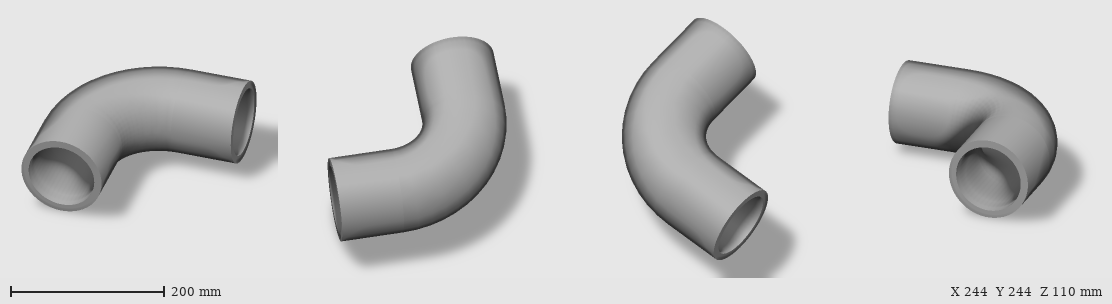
import cadquery as cq

overall_length = 244.0
outer_diameter = 110.0
bore_diameter = 90.0
leg_length = 82.0

bend_radius = overall_length - leg_length - outer_diameter / 2


def elbow_path():
    """Centreline from the -Y opening, around the bend, to the +X opening."""
    return (
        cq.Workplane("XY")
        .moveTo(0, -leg_length)
        .lineTo(0, 0)
        .radiusArc((bend_radius, bend_radius), bend_radius)
        .lineTo(bend_radius + leg_length, bend_radius)
    )


def elbow_solid(diameter):
    """Solid round bar following the elbow centreline."""
    start_plane = cq.Plane(origin=(0, -leg_length, 0), xDir=(1, 0, 0), normal=(0, 1, 0))
    return cq.Workplane(start_plane).circle(diameter / 2).sweep(elbow_path())


result = elbow_solid(outer_diameter).cut(elbow_solid(bore_diameter))